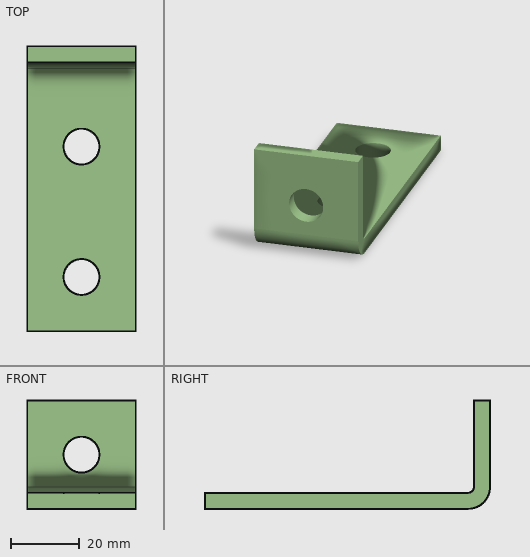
import cadquery as cq

length = 83.3
width = 31.75
height = 31.75
thickness = 4.75
inner_bend_radius = 1.75
hole_diameter = 10.4
hole_spacing = 38.1

outer_bend_radius = inner_bend_radius + thickness
edge_distance = width / 2


def bent_strip():
    """L-shaped strip, centred on X, with the upright leg at the +Y end."""
    profile = (
        cq.Workplane("YZ")
        .polyline([
            (0, 0),
            (length, 0),
            (length, height),
            (length - thickness, height),
            (length - thickness, thickness),
            (0, thickness),
        ])
        .close()
    )
    strip = profile.extrude(width / 2, both=True)
    outer_corner = cq.selectors.NearestToPointSelector((0, length, 0))
    inner_corner = cq.selectors.NearestToPointSelector((0, length - thickness, thickness))
    strip = strip.edges("|X").edges(outer_corner).fillet(outer_bend_radius)
    return strip.edges("|X").edges(inner_corner).fillet(inner_bend_radius)


def long_leg_holes():
    """Two vertical cutters along the centre line of the long leg."""
    return (
        cq.Workplane("XY")
        .pushPoints([(0, edge_distance), (0, edge_distance + hole_spacing)])
        .circle(hole_diameter / 2)
        .extrude(thickness)
    )


def upright_leg_hole():
    """One cutter along Y through the upright leg."""
    return (
        cq.Workplane("XZ", origin=(0, length, height - edge_distance))
        .circle(hole_diameter / 2)
        .extrude(thickness)
    )


result = bent_strip().cut(long_leg_holes()).cut(upright_leg_hole())